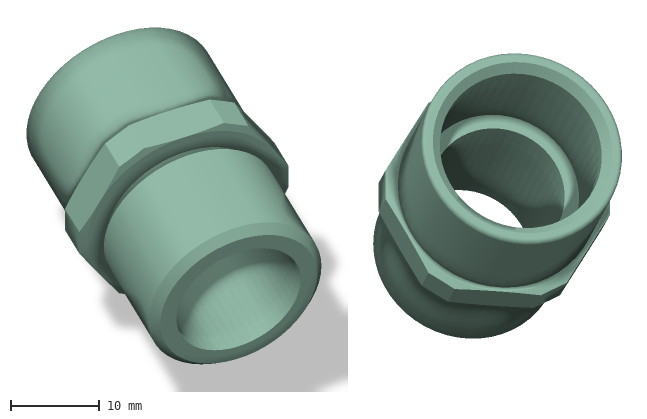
import cadquery as cq
import math

total_length = 33.5
hex_start = 14.0
hex_end = 18.5
spigot_start = 20.0

socket_radius = 11.5
groove_radius = 9.58
spigot_radius = 10.62
socket_rim_round = 0.5
spigot_chamfer = 1.0

hex_across_flats = 24.0
corner_across_flats = 25.7
hex_chamfer_angle = 15.0

socket_bore_radius = 9.28
mouth_radius = 10.3
mouth_chamfer_depth = 1.0
socket_depth = hex_start
through_bore_radius = 7.65


def rod(radius, start, end):
    """Cylinder on the X axis between two stations."""
    return cq.Workplane("YZ").workplane(offset=start).circle(radius).extrude(end - start)


def hex_prism(across_flats, turn):
    """Hexagonal prism along X; with no turn its corners point along Y."""
    across_corners = across_flats / math.cos(math.radians(30))
    prism = (
        cq.Workplane("YZ")
        .workplane(offset=hex_start)
        .polygon(6, across_corners)
        .extrude(hex_end - hex_start)
    )
    return prism.rotate((0, 0, 0), (1, 0, 0), turn)


def revolve_about_x(points):
    """Revolve a closed (station, radius) outline about the X axis."""
    return cq.Workplane("XY").polyline(points).close().revolve(360, (0, 0, 0), (1, 0, 0))


def make_collar():
    """Hexagonal collar with blunted corners, both faces chamfered by shallow cones."""
    face_radius = hex_across_flats / 2
    envelope_radius = hex_across_flats / math.sqrt(3)
    cone_depth = (envelope_radius - face_radius) * math.tan(math.radians(hex_chamfer_angle))
    envelope = revolve_about_x([
        (hex_start, 0),
        (hex_start, face_radius),
        (hex_start + cone_depth, envelope_radius),
        (hex_end - cone_depth, envelope_radius),
        (hex_end, face_radius),
        (hex_end, 0),
    ])
    blunted_hex = hex_prism(hex_across_flats, 0).intersect(hex_prism(corner_across_flats, 30))
    return blunted_hex.intersect(envelope)


def make_passage():
    """Stepped bore: chamfered mouth, socket bore and the narrower through bore."""
    return revolve_about_x([
        (0, 0),
        (0, mouth_radius),
        (mouth_chamfer_depth, socket_bore_radius),
        (socket_depth, socket_bore_radius),
        (socket_depth, through_bore_radius),
        (total_length, through_bore_radius),
        (total_length, 0),
    ])


socket = rod(socket_radius, 0, hex_start).faces("<X").edges().fillet(socket_rim_round)
groove = rod(groove_radius, hex_end, spigot_start)
spigot = rod(spigot_radius, spigot_start, total_length).faces(">X").edges().chamfer(spigot_chamfer)

body = socket.union(make_collar()).union(groove).union(spigot)
result = body.cut(make_passage())